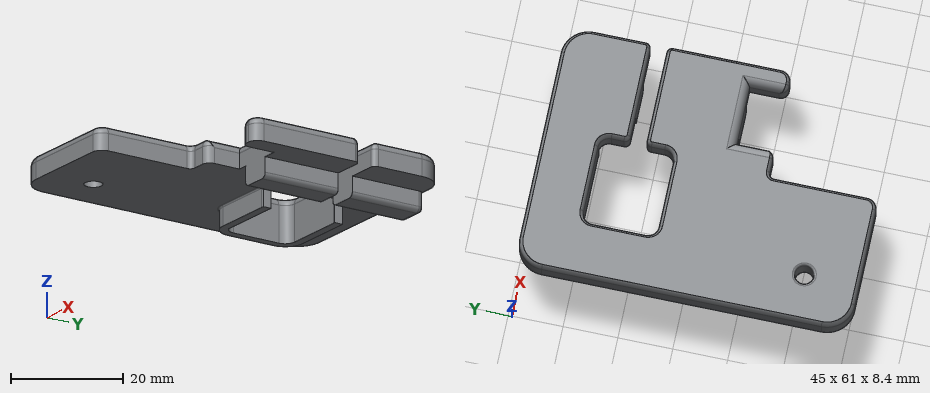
import cadquery as cq
import math

length_x = 45.0
length_y = 61.0
plate_height = 4.5
underside_depth = 3.9

large_corner = 5.0
medium_corner = 2.0
notch_mouth_corner = 1.5
slot_corner = 1.0
step_inner_corner = 1.0
foot_right = 25.0
arm_bottom = 19.95

window_left = 10.0
window_right = 26.35
window_bottom = 37.15
window_top = 50.95
slot_bottom = 42.6
slot_top = 45.6

notch_left = 30.0
notch_right = 40.95
notch_back = 26.85

edge_radius = 1.5
rim_drop = 1.2

hole_diameter = 3.4
hole_x = 8.55
hole_y = 9.95
hole_edge_radius = 0.4

wall_thickness = 1.65
wall_end = 24.8
wall_root = 0.3

rail_left = 31.95
rail_right = 38.2
rail_edge_radius = 1.0

cut_margin = 0.6


def rounded_path(start, corners, end):
    """Wire from start to end with each (x, y, radius) corner replaced by a tangent arc."""
    path = cq.Workplane("XY").moveTo(*start)
    points = [start] + [corner[:2] for corner in corners] + [end]
    for index, (x, y, radius) in enumerate(corners, start=1):
        corner = cq.Vector(x, y)
        to_previous = (cq.Vector(*points[index - 1]) - corner).normalized()
        to_next = (cq.Vector(*points[index + 1]) - corner).normalized()
        bisector = (to_previous + to_next).normalized()
        arc_start = corner + to_previous * radius
        arc_middle = corner + bisector * (radius * (math.sqrt(2) - 1))
        arc_end = corner + to_next * radius
        path = path.lineTo(arc_start.x, arc_start.y)
        path = path.threePointArc((arc_middle.x, arc_middle.y), (arc_end.x, arc_end.y))
    return path.lineTo(*end)


def outer_path():
    """Plate edge from the right side of the notch round to its left side."""
    corners = [
        (notch_right, arm_bottom, notch_mouth_corner),
        (length_x, arm_bottom, medium_corner),
        (length_x, slot_bottom, slot_corner),
        (window_right, slot_bottom, slot_corner),
        (window_right, window_bottom, medium_corner),
        (window_left, window_bottom, medium_corner),
        (window_left, window_top, medium_corner),
        (window_right, window_top, medium_corner),
        (window_right, slot_top, slot_corner),
        (length_x, slot_top, slot_corner),
        (length_x, length_y, large_corner),
        (0, length_y, large_corner),
        (0, 0, large_corner),
        (foot_right, 0, medium_corner),
        (foot_right, arm_bottom, step_inner_corner),
        (notch_left, arm_bottom, notch_mouth_corner),
    ]
    return rounded_path((notch_right, notch_back), corners, (notch_left, notch_back))


def edge_cutter(path, wall_x, wall_y, drop):
    """Sweep the waste above an edge arc along a path that starts along Y with the plate to +X."""
    inset = edge_radius - math.sqrt(edge_radius**2 - drop**2)
    half_angle = math.asin(drop / edge_radius) / 2
    arc_base = plate_height - drop
    middle_x = wall_x + edge_radius * (1 - math.cos(half_angle))
    middle_z = arc_base + edge_radius * math.sin(half_angle)
    top_x = wall_x + inset
    outside_x = wall_x - cut_margin
    top_z = plate_height + cut_margin
    profile = (
        cq.Workplane("XZ", origin=(0, wall_y, 0))
        .moveTo(wall_x, arc_base)
        .threePointArc((middle_x, middle_z), (top_x, plate_height))
        .lineTo(top_x, top_z)
        .lineTo(outside_x, top_z)
        .lineTo(outside_x, arc_base)
        .close()
    )
    return profile.sweep(path, transition="right")


def make_plate():
    """Plate with trimmed arcs round its rim and full quarter arcs in the notch."""
    plate = outer_path().close().extrude(plate_height)
    rim = edge_cutter(outer_path(), notch_right, notch_back, rim_drop)
    notch_path = cq.Workplane("XY").polyline([
        (notch_right, arm_bottom - cut_margin),
        (notch_right, notch_back),
        (notch_left, notch_back),
        (notch_left, arm_bottom - cut_margin),
    ])
    notch_edge = edge_cutter(notch_path, notch_right, arm_bottom - cut_margin, edge_radius)
    return plate.cut(rim).cut(notch_edge)


def underside_block(left, right, bottom, top):
    """Box hanging from the underside of the plate."""
    return (
        cq.Workplane("XY", origin=(left, bottom, -underside_depth))
        .box(right - left, top - bottom, underside_depth, centered=False)
    )


def make_window_wall():
    """Rounded block around the window with a flared root, ending square on its open side."""
    outer_left = window_left - wall_thickness
    outer_bottom = window_bottom - wall_thickness
    outer_right = window_right + wall_thickness
    outer_top = window_top + wall_thickness
    outer_corner = medium_corner + wall_thickness
    wall = underside_block(outer_left, outer_right, outer_bottom, outer_top)
    wall = wall.edges("|Z").fillet(outer_corner)
    slab = cq.Workplane("XY").box(length_x, length_y, plate_height, centered=False)
    wall = slab.union(wall)
    root_edges = cq.selectors.BoxSelector(
        (outer_left - cut_margin, outer_bottom - cut_margin, -wall_root),
        (outer_right + cut_margin, outer_top + cut_margin, wall_root),
    )
    wall = wall.edges(root_edges).fillet(wall_root)
    span = underside_block(0, wall_end, 0, length_y)
    return wall.intersect(span)


def make_rail():
    """Rail with rounded lower edges, square where it meets the notch."""
    rail = underside_block(rail_left, rail_right, notch_back, length_y)
    rail = rail.edges("|Z and >Y").fillet(rail_edge_radius)
    return rail.faces("<Z").edges("not <Y").fillet(rail_edge_radius)


def make_window():
    """Window and slot opening through what hangs below the plate."""
    window = underside_block(window_left, window_right, window_bottom, window_top)
    window = window.edges("|Z").fillet(medium_corner)
    slot = underside_block(window_right - medium_corner, length_x, slot_bottom, slot_top)
    return window.union(slot)


def drill_hole(body):
    """Through hole with a rounded upper edge."""
    body = body.faces(">Z").workplane(origin=(hole_x, hole_y, plate_height)).hole(hole_diameter)
    hole_edge = cq.selectors.NearestToPointSelector((hole_x, hole_y, plate_height))
    return body.edges(hole_edge).fillet(hole_edge_radius)


underside = make_window_wall().union(make_rail()).cut(make_window())
result = drill_hole(make_plate().union(underside))